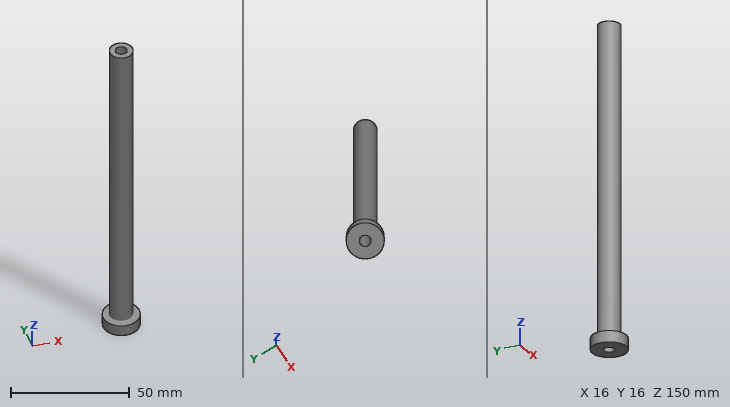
import cadquery as cq

total_length = 150.0
head_diameter = 16.0
head_height = 5.2
shank_diameter = 10.0
bore_diameter = 5.0
neck_fillet = 0.5

head = cq.Workplane("XY").circle(head_diameter / 2).extrude(head_height)
shank = cq.Workplane("XY").circle(shank_diameter / 2).extrude(total_length)
body = head.union(shank)

head_top = body.faces("<Z[1]")
body = head_top.edges(cq.selectors.RadiusNthSelector(0)).fillet(neck_fillet)

bore = cq.Workplane("XY").circle(bore_diameter / 2).extrude(total_length)
result = body.cut(bore)